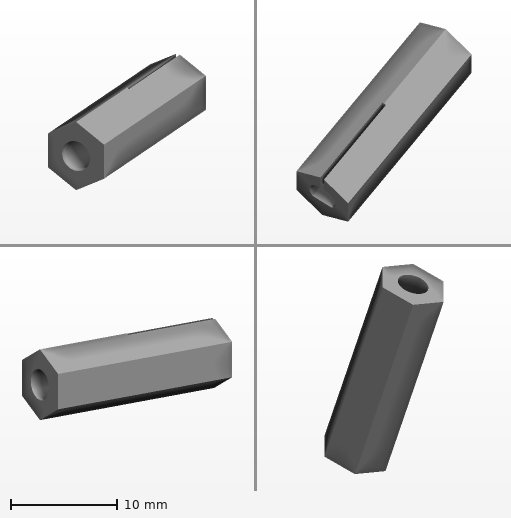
import cadquery as cq
import math

length = 20.0
across_flats = 6.0
bore_diameter = 3.0
d_flat_height = -1.0
slit_width = 0.4

across_corners = across_flats / math.cos(math.radians(30))
rear_length = length / 2


def hex_body():
    """Hexagonal bar along Y, with corners on the Z axis."""
    profile = cq.Workplane("XZ").transformed(rotate=(0, 0, 90)).polygon(6, across_corners)
    return profile.extrude(length / 2, both=True)


def bore():
    """Round bore through the full length."""
    return cq.Workplane("XZ").circle(bore_diameter / 2).extrude(length / 2, both=True)


def below_d_flat():
    """Block under the flat that stays solid in the +Y half."""
    block_height = bore_diameter / 2 + d_flat_height
    block = cq.Workplane("XY").box(
        bore_diameter, rear_length, block_height, centered=(True, False, False)
    )
    return block.translate((0, 0, -bore_diameter / 2))


def slit():
    """Narrow slit from the bore axis up through the top corner of the +Y half."""
    return cq.Workplane("XY").box(
        slit_width, rear_length, across_corners / 2, centered=(True, False, False)
    )


stepped_bore = bore().cut(below_d_flat())
result = hex_body().cut(stepped_bore).cut(slit())